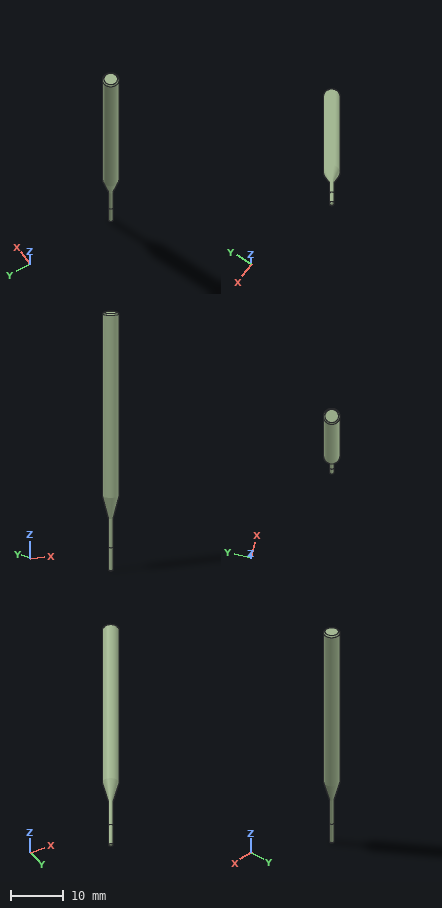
import cadquery as cq

overall_length = 50.2
shank_bottom = 14.5
neck_top = 10.2
tip_top = 4.65
point_height = 0.25

shank_diameter = 3.15
neck_diameter = 0.9
tip_diameter = neck_diameter

bevel_size = 0.3


def revolve_profile(points):
    """Turn a closed (radius, height) outline around Z."""
    return cq.Workplane("XZ").polyline(points).close().revolve(360, (0, 0, 0), (0, 1, 0))


def make_holder():
    """Bevelled shank, tapering down to the plain part of the neck."""
    shank_radius = shank_diameter / 2
    neck_radius = neck_diameter / 2
    return revolve_profile([
        (0, tip_top),
        (neck_radius, tip_top),
        (neck_radius, neck_top),
        (shank_radius, shank_bottom),
        (shank_radius, overall_length - bevel_size),
        (shank_radius - bevel_size, overall_length),
        (0, overall_length),
    ])


def make_cutting_tip():
    """Cylindrical cutting end with a conical point, butted against the neck."""
    tip_radius = tip_diameter / 2
    return revolve_profile([
        (0, 0),
        (tip_radius, point_height),
        (tip_radius, tip_top),
        (0, tip_top),
    ])


holder = make_holder()
cutting_tip = make_cutting_tip()

result = cq.Compound.makeCompound([holder.val(), cutting_tip.val()])